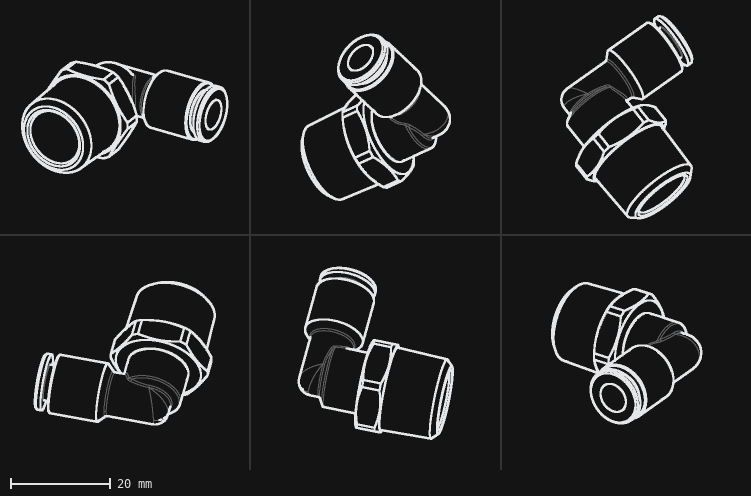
import cadquery as cq
import math


PIPE_RADIUS = 9.0 / 2
ELBOW_FILLET = 2.5

COLLAR_RADIUS = 12.5 / 2
COLLAR_FILLET = 0.45
COLLAR_SLOPE = math.radians(30)
COLLAR_TOP_Y = -COLLAR_FILLET * math.tan(COLLAR_SLOPE)
COLLAR_SHOULDER_Y = COLLAR_TOP_Y - (COLLAR_RADIUS - PIPE_RADIUS) * math.tan(COLLAR_SLOPE)
NECK_RADIUS = 12.0 / 2
NECK_LENGTH = 0.15

HEX_SIDES = 6
HEX_ACROSS_FLATS = 18.0
HEX_CORNER_RADIUS = 10.0
HEX_FACE_RADIUS = 8.8
HEX_BEVEL_ANGLE = math.radians(30)
HEX_BEVEL = (HEX_CORNER_RADIUS - HEX_FACE_RADIUS) * math.tan(HEX_BEVEL_ANGLE)
HEX_LENGTH = 5.0
HEX_TOP_Y = -8.7
HEX_BOTTOM_Y = HEX_TOP_Y - HEX_LENGTH

STEM_END_Y = -25.2
THREAD_CHAMFER = 1.2
THREAD_GAUGE_RADIUS = 16.662 / 2
THREAD_GAUGE_LENGTH = 6.4
THREAD_TAPER = 1 / 16

SOCKET_RADIUS = 12.0 / 2
SOCKET_SHOULDER_X = 9.5
SOCKET_CONE_X = SOCKET_SHOULDER_X - (SOCKET_RADIUS - PIPE_RADIUS)
SOCKET_ROOT_FILLET = 0.6
SOCKET_STUB_X = 7.2
SOCKET_END_X = 19.5
SOCKET_END_CHAMFER = 0.2
LIP_RADIUS = 9.0 / 2
LIP_LENGTH = 0.1

RING_NECK_RADIUS = 7.3 / 2
RING_NECK_FILLET = 0.15
RING_RADIUS = 11.5 / 2
RING_START_X = 21.05
RING_END_X = 22.3
RING_CHAMFER = 0.35

STEM_BORE_RADIUS = 11.5 / 2
STEM_BORE_CHAMFER = 0.45
STEM_BORE_DEPTH = 14.0
STEM_HOLE_RADIUS = 6.0 / 2
DRILL_HALF_ANGLE = math.radians(118 / 2)
STEM_BORE_CONE_LENGTH = (STEM_BORE_RADIUS - STEM_HOLE_RADIUS) / math.tan(DRILL_HALF_ANGLE)
STEM_HOLE_END_Y = 0.0
PIPE_HOLE_RADIUS = 5.0 / 2
PIPE_HOLE_START_X = -STEM_HOLE_RADIUS
TUBE_BORE_RADIUS = 6.15 / 2
TUBE_STOP_X = SOCKET_SHOULDER_X

TOLERANCE = 1e-3
FUSE_TOLERANCE = 1e-4


def turned_on_x(profile):
    """Solid of revolution about X from (x, radius) points, with its seam on the -Y side, inside the bend."""
    outline = [(x, -radius) for x, radius in profile]
    points = [(outline[0][0], 0), *outline, (outline[-1][0], 0)]
    return cq.Workplane("XY").polyline(points).close().revolve(360, (0, 0, 0), (1, 0, 0))


def turned_on_y(profile):
    """Solid of revolution about Y from (radius, y) points."""
    points = [(0, profile[0][1]), *profile, (0, profile[-1][1])]
    return cq.Workplane("XY").polyline(points).close().revolve(360, (0, 0, 0), (0, 1, 0))


def circle_on_x(x, radius):
    """Selector for the circular edge of the given radius around the X axis at x."""
    reach = radius + TOLERANCE
    return cq.selectors.BoxSelector(
        (x - TOLERANCE, -reach, -reach),
        (x + TOLERANCE, reach, reach),
        boundingbox=True,
    )


def pipe_leg_x(start_x, end_x):
    """Solid pipe along X."""
    return turned_on_x([(start_x, PIPE_RADIUS), (end_x, PIPE_RADIUS)])


def pipe_leg_y(start_y, end_y):
    """Solid pipe along Y."""
    return turned_on_y([(PIPE_RADIUS, start_y), (PIPE_RADIUS, end_y)])


def block(x_side, y_reach):
    """Block on the +X (1) or -X (-1) side of the stem axis, from the stem end up to y_reach."""
    width = RING_END_X
    bottom_y = STEM_END_Y
    return (
        cq.Workplane("XY")
        .box(width, y_reach - bottom_y, 2 * width)
        .translate((x_side * width / 2, (y_reach + bottom_y) / 2, 0))
    )


def make_elbow_corner():
    """Outer quarter of the sharp mitre between the two pipe legs."""
    return pipe_leg_x(-2 * PIPE_RADIUS, 0).intersect(pipe_leg_y(0, 2 * PIPE_RADIUS))


def make_collar():
    """Collar with a rounded shoulder; its cone runs on inward so that both pipe legs cut it."""
    cone_end_radius = PIPE_RADIUS / 2
    cone_end_y = COLLAR_SHOULDER_Y + (COLLAR_RADIUS - cone_end_radius) * math.tan(COLLAR_SLOPE)
    collar = turned_on_y([
        (cone_end_radius, cone_end_y),
        (COLLAR_RADIUS, COLLAR_SHOULDER_Y),
        (COLLAR_RADIUS, HEX_TOP_Y + NECK_LENGTH),
        (NECK_RADIUS, HEX_TOP_Y + NECK_LENGTH),
        (NECK_RADIUS, HEX_TOP_Y),
    ])
    shoulder = cq.selectors.NearestToPointSelector((0, COLLAR_SHOULDER_Y, 0))
    return collar.edges("%CIRCLE").edges(shoulder).fillet(COLLAR_FILLET)


def blend_root(joined, distance_to_axis, is_free_end):
    """Fillet every edge where the collar meets the surface of a pipe leg."""
    samples = (0.1, 0.4, 0.8)
    root_edges = []
    for edge in joined.edges().vals():
        points = [edge.positionAt(t) for t in samples]
        on_pipe = all(abs(distance_to_axis(p) - PIPE_RADIUS) < TOLERANCE for p in points)
        if on_pipe and edge.geomType() != "LINE" and not is_free_end(edge.Center()):
            root_edges.append(edge)
    return joined.newObject(root_edges).fillet(COLLAR_FILLET)


def make_collar_with_elbow():
    """Collar and elbow; the blend follows the stem leg on the -X half and the socket leg on the +X half."""
    collar = make_collar()

    stem_side = blend_root(
        collar.union(pipe_leg_y(HEX_TOP_Y, PIPE_RADIUS)),
        lambda p: math.hypot(p.x, p.z),
        lambda p: p.y > PIPE_RADIUS - TOLERANCE,
    )
    socket_side = blend_root(
        collar.union(pipe_leg_x(-SOCKET_STUB_X, SOCKET_STUB_X)),
        lambda p: math.hypot(p.y, p.z),
        lambda p: abs(p.x) > SOCKET_STUB_X - TOLERANCE,
    )
    return (
        stem_side.intersect(block(-1, 0))
        .union(socket_side.intersect(block(1, 2 * PIPE_RADIUS)), tol=FUSE_TOLERANCE)
        .union(make_elbow_corner(), tol=FUSE_TOLERANCE)
    )


def make_hexagon():
    """Hexagon with turned-down corners and both faces bevelled."""
    blank = (
        cq.Workplane("XZ", origin=(0, HEX_TOP_Y, 0))
        .polygon(HEX_SIDES, HEX_ACROSS_FLATS, circumscribed=True)
        .extrude(HEX_LENGTH)
        .rotate((0, 0, 0), (0, 1, 0), 180 / HEX_SIDES)
    )
    envelope = turned_on_y([
        (HEX_FACE_RADIUS, HEX_TOP_Y),
        (HEX_CORNER_RADIUS, HEX_TOP_Y - HEX_BEVEL),
        (HEX_CORNER_RADIUS, HEX_BOTTOM_Y + HEX_BEVEL),
        (HEX_FACE_RADIUS, HEX_BOTTOM_Y),
    ])
    return blank.intersect(envelope)


def make_thread():
    """Plain tapered envelope of the pipe thread, chamfered at its tip."""
    tip_y = STEM_END_Y + THREAD_CHAMFER
    gauge_y = STEM_END_Y + THREAD_GAUGE_LENGTH
    root_radius = THREAD_GAUGE_RADIUS + (HEX_BOTTOM_Y - gauge_y) * THREAD_TAPER / 2
    tip_radius = THREAD_GAUGE_RADIUS + (tip_y - gauge_y) * THREAD_TAPER / 2
    return turned_on_y([
        (root_radius, HEX_BOTTOM_Y),
        (tip_radius, tip_y),
        (tip_radius - THREAD_CHAMFER, STEM_END_Y),
    ])


def make_socket():
    """Tube socket with a conical root, an end lip and the release ring."""
    lip_end_x = SOCKET_END_X + LIP_LENGTH
    socket = turned_on_x([
        (SOCKET_STUB_X, PIPE_RADIUS),
        (SOCKET_CONE_X, PIPE_RADIUS),
        (SOCKET_SHOULDER_X, SOCKET_RADIUS),
        (SOCKET_END_X - SOCKET_END_CHAMFER, SOCKET_RADIUS),
        (SOCKET_END_X, SOCKET_RADIUS - SOCKET_END_CHAMFER),
        (SOCKET_END_X, LIP_RADIUS),
        (lip_end_x, LIP_RADIUS),
        (lip_end_x, RING_NECK_RADIUS),
        (RING_START_X, RING_NECK_RADIUS),
        (RING_START_X, RING_RADIUS),
        (RING_END_X - RING_CHAMFER, RING_RADIUS),
        (RING_END_X, RING_RADIUS - RING_CHAMFER),
    ])

    socket = socket.edges(circle_on_x(SOCKET_CONE_X, PIPE_RADIUS)).fillet(SOCKET_ROOT_FILLET)
    for x in (lip_end_x, RING_START_X):
        socket = socket.edges(circle_on_x(x, RING_NECK_RADIUS)).fillet(RING_NECK_FILLET)
    return socket


def make_stem_bore():
    """Wide stem bore with an entry chamfer, a conical floor and a narrower hole up to the elbow."""
    cone_y = STEM_END_Y + STEM_BORE_DEPTH
    return turned_on_y([
        (STEM_BORE_RADIUS + STEM_BORE_CHAMFER, STEM_END_Y),
        (STEM_BORE_RADIUS, STEM_END_Y + STEM_BORE_CHAMFER),
        (STEM_BORE_RADIUS, cone_y),
        (STEM_HOLE_RADIUS, cone_y + STEM_BORE_CONE_LENGTH),
        (STEM_HOLE_RADIUS, STEM_HOLE_END_Y),
    ])


def make_pipe_bore():
    """Passage through the elbow that widens to take the tube."""
    return turned_on_x([
        (PIPE_HOLE_START_X, PIPE_HOLE_RADIUS),
        (TUBE_STOP_X, PIPE_HOLE_RADIUS),
        (TUBE_STOP_X, TUBE_BORE_RADIUS),
        (RING_END_X, TUBE_BORE_RADIUS),
    ])


def round_elbow_corner(half_body):
    """Round the mitre edge, which lies in the plane x + y = 0 on the outside of the bend."""
    mitre_edges = []
    for edge in half_body.edges("%ELLIPSE").vals():
        center = edge.Center()
        if center.x < -PIPE_HOLE_RADIUS and abs(center.x + center.y) < TOLERANCE:
            mitre_edges.append(edge)
    return half_body.newObject(mitre_edges).fillet(ELBOW_FILLET)


sharp_body = (
    make_collar_with_elbow()
    .union(make_socket())
    .union(make_hexagon())
    .union(make_thread())
    .cut(make_stem_bore())
    .cut(make_pipe_bore())
)
upper_half = round_elbow_corner(sharp_body.copyWorkplane(cq.Workplane("XY")).split(keepTop=True))
result = upper_half.union(upper_half.mirror("XY"))